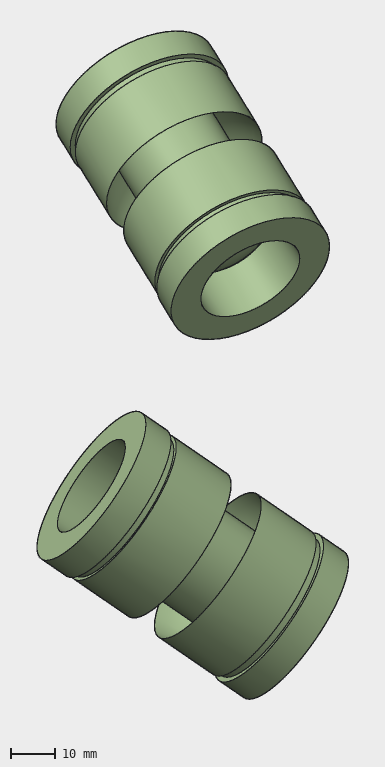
import cadquery as cq
import math

total_length = 58.0
flange_length = 7.2
groove_width = 1.8
gap_width = 8.6

flange_radius = 20.0
groove_radius = 18.75
body_radius = 19.6
rod_radius = 12.45

web_thickness = 0.2

end_x = total_length / 2
flange_x = end_x - flange_length
groove_x = flange_x - groove_width
gap_x = gap_width / 2

cavity_radius = math.hypot(body_radius, gap_x)
cavity_floor_x = math.sqrt(cavity_radius**2 - rod_radius**2)

dome_radius = cavity_radius + web_thickness
dome_edge_x = math.sqrt(dome_radius**2 - rod_radius**2)


def arc_midpoint(radius, start_angle, end_angle):
    """Point halfway along an arc centred on the origin, angles measured from the X axis."""
    angle = (start_angle + end_angle) / 2
    return (radius * math.cos(angle), radius * math.sin(angle))


def half_profile():
    """Section above the X axis of the +X half: rod, cavity, sleeve and bore."""
    cavity_mid = arc_midpoint(
        cavity_radius,
        math.atan2(rod_radius, cavity_floor_x),
        math.atan2(body_radius, gap_x),
    )
    dome_mid = arc_midpoint(dome_radius, 0, math.atan2(rod_radius, dome_edge_x))
    return (
        cq.Workplane("XY")
        .lineTo(0, rod_radius)
        .lineTo(cavity_floor_x, rod_radius)
        .threePointArc(cavity_mid, (gap_x, body_radius))
        .lineTo(groove_x, body_radius)
        .lineTo(groove_x, groove_radius)
        .lineTo(flange_x, groove_radius)
        .lineTo(flange_x, flange_radius)
        .lineTo(end_x, flange_radius)
        .lineTo(end_x, rod_radius)
        .lineTo(dome_edge_x, rod_radius)
        .threePointArc(dome_mid, (dome_radius, 0))
        .close()
    )


half = half_profile().revolve(360, (0, 0, 0), (1, 0, 0))
result = half.union(half.rotate((0, 0, 0), (0, 0, 1), 180)).clean()